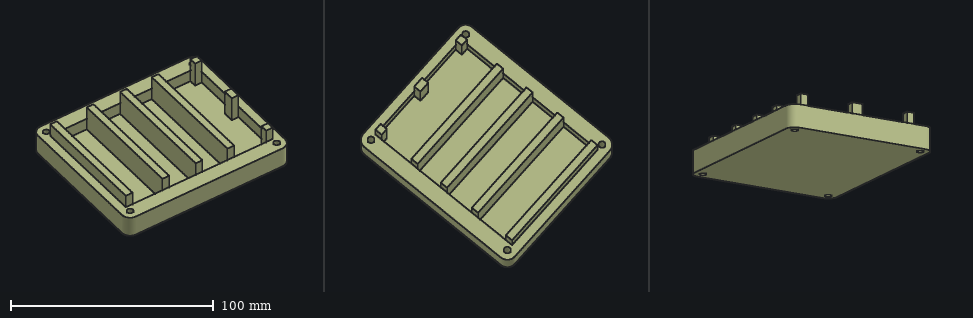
import cadquery as cq

width = 82.0
length = 98.3
body_height = 12.0
total_height = 19.5
corner_radius = 5.0
hole_diameter = 3.4

pocket_width = 65.0
pocket_length = 88.5
floor_thickness = 5.0

rib_thickness = 4.0
middle_post_width = 6.0
rib_gaps = (18.0, 16.0, 15.0)

pocket_front = -pocket_length / 2
pocket_back = pocket_length / 2
insert_height = total_height - floor_thickness


def standing_block(size_x, center_x, front_y):
    """Block standing on the pocket floor and reaching the full height."""
    return (
        cq.Workplane("XY", origin=(center_x, front_y + rib_thickness / 2, floor_thickness))
        .box(size_x, rib_thickness, insert_height, centered=(True, True, False))
    )


def make_tray():
    """Rounded plate with a rectangular pocket and a through hole in each corner."""
    body = (
        cq.Workplane("XY")
        .box(width, length, body_height, centered=(True, True, False))
        .edges("|Z")
        .fillet(corner_radius)
    )
    pocket = (
        cq.Workplane("XY", origin=(0, 0, floor_thickness))
        .box(pocket_width, pocket_length, body_height, centered=(True, True, False))
    )
    hole_spacing_x = width - 2 * corner_radius
    hole_spacing_y = length - 2 * corner_radius
    holes = (
        cq.Workplane("XY")
        .rect(hole_spacing_x, hole_spacing_y, forConstruction=True)
        .vertices()
        .circle(hole_diameter / 2)
        .extrude(body_height)
    )
    return body.cut(pocket).cut(holes)


result = make_tray()

rib_front = pocket_front
for gap in (0, *rib_gaps):
    rib_front += gap
    result = result.union(standing_block(pocket_width, 0, rib_front))
    rib_front += rib_thickness

post_front = pocket_back - rib_thickness
corner_post_x = (pocket_width - rib_thickness) / 2
for post_width, post_x in (
    (rib_thickness, -corner_post_x),
    (middle_post_width, 0),
    (rib_thickness, corner_post_x),
):
    result = result.union(standing_block(post_width, post_x, post_front))